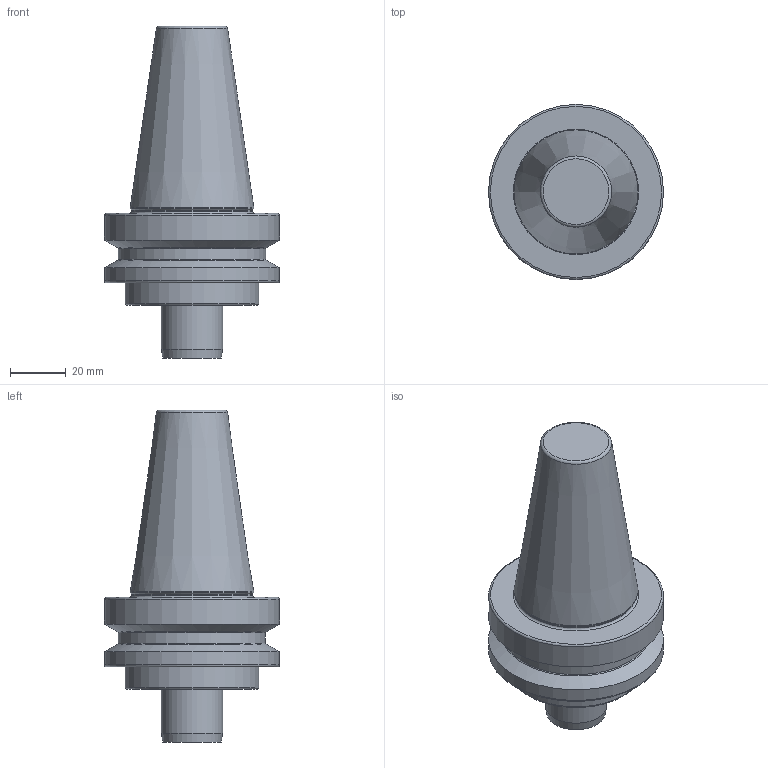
import cadquery as cq
import math


gauge_diameter = 44.45
taper_length = 65.4
taper_ratio = 7 / 24
shank_top_rounding = 1.0

gauge_land_length = 0.3
neck_diameter = 43.5
neck_top_z = -0.85
neck_fillet = 0.8

flange_diameter = 62.95
flange_top_z = -2.0
flange_bottom_z = -27.0
flange_rounding = 0.7

groove_floor_diameter = 53.0
groove_center_z = -16.6
groove_mouth_width = 10.0
groove_flank_angle = 30.0
groove_floor_fillet = 0.5

collar_diameter = 48.0
collar_bottom_z = -35.0
collar_rounding = 0.6

pilot_diameter = 22.0
pilot_bottom_z = -54.0
pilot_lead_length = 3.2
pilot_lead_width = 0.5


def taper_radius(z):
    """Radius of the taper at height z above the gauge plane."""
    return (gauge_diameter - taper_ratio * z) / 2


def make_body():
    """Revolve the stepped outline of the holder around Z."""
    gauge_radius = gauge_diameter / 2
    neck_radius = neck_diameter / 2
    flange_radius = flange_diameter / 2
    collar_radius = collar_diameter / 2
    pilot_radius = pilot_diameter / 2

    profile = (
        cq.Workplane("XZ")
        .moveTo(0, taper_length)
        .lineTo(taper_radius(taper_length), taper_length)
        .lineTo(gauge_radius, 0)
        .lineTo(gauge_radius, -gauge_land_length)
        .lineTo(neck_radius, neck_top_z)
        .lineTo(neck_radius, flange_top_z + neck_fillet)
        .radiusArc((neck_radius + neck_fillet, flange_top_z), -neck_fillet)
        .lineTo(flange_radius, flange_top_z)
        .lineTo(flange_radius, flange_bottom_z)
        .lineTo(collar_radius, flange_bottom_z)
        .lineTo(collar_radius, collar_bottom_z)
        .lineTo(pilot_radius, collar_bottom_z)
        .lineTo(pilot_radius, pilot_bottom_z + pilot_lead_length)
        .lineTo(pilot_radius - pilot_lead_width, pilot_bottom_z)
        .lineTo(0, pilot_bottom_z)
        .close()
    )
    return profile.revolve(360, (0, 0, 0), (0, 1, 0))


def make_gripper_groove():
    """Ring with a trapezoid section and rounded floor corners that cuts the groove into the flange."""
    floor_radius = groove_floor_diameter / 2
    flange_radius = flange_diameter / 2
    half_mouth = groove_mouth_width / 2
    flank_height = (flange_radius - floor_radius) * math.tan(math.radians(groove_flank_angle))
    half_floor = half_mouth - flank_height

    section = (
        cq.Workplane("XZ")
        .moveTo(floor_radius, groove_center_z + half_floor)
        .lineTo(flange_radius, groove_center_z + half_mouth)
        .lineTo(flange_radius, groove_center_z - half_mouth)
        .lineTo(floor_radius, groove_center_z - half_floor)
        .close()
    )
    ring = section.revolve(360, (0, 0, 0), (0, 1, 0))
    floor_edges = [
        rim(ring, floor_radius, groove_center_z + half_floor).val(),
        rim(ring, floor_radius, groove_center_z - half_floor).val(),
    ]
    return ring.newObject(floor_edges).fillet(groove_floor_fillet)


def rim(body, radius, z):
    """Circular edge of the body with the given radius and height."""
    tolerance = 1e-3
    outer = radius + tolerance
    inner = radius - tolerance
    return body.edges("%CIRCLE").filter(
        lambda edge: inner < edge.radius() < outer and abs(edge.Center().z - z) < tolerance
    )


def round_rims(body):
    """Round the top of the shank, both flange rims and the bottom of the collar."""
    roundings = [
        (taper_radius(taper_length), taper_length, shank_top_rounding),
        (flange_diameter / 2, flange_top_z, flange_rounding),
        (flange_diameter / 2, flange_bottom_z, flange_rounding),
        (collar_diameter / 2, collar_bottom_z, collar_rounding),
    ]
    for radius, z, rounding in roundings:
        body = body.newObject([rim(body, radius, z).val()]).fillet(rounding)
    return body


result = round_rims(make_body().cut(make_gripper_groove()))